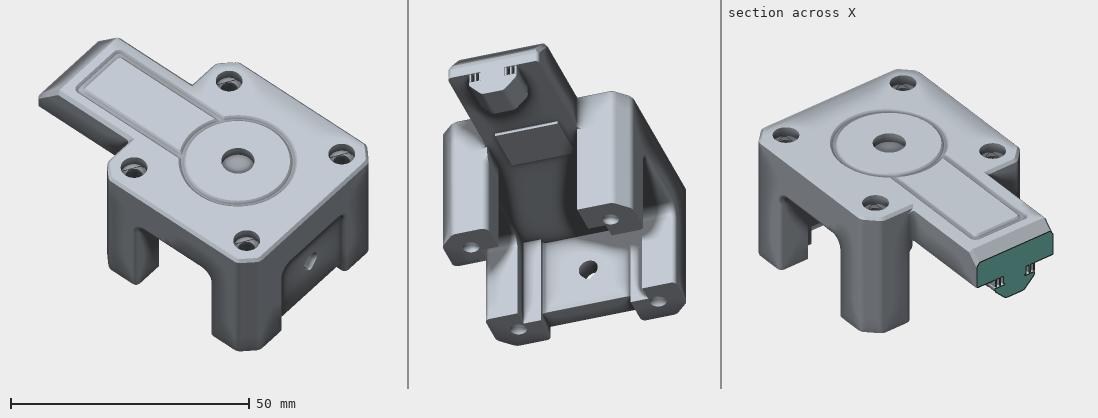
import cadquery as cq
import math


BLOCK_LENGTH = 42.0
BLOCK_WIDTH = 42.2
BLOCK_END_X = BLOCK_LENGTH / 2
BLOCK_SIDE_Y = BLOCK_WIDTH / 2
HEIGHT = 29.5
TOP_BEVEL = 0.6
CORNER_CHAMFER = 3.4
CORNER_ROUND = 2.0
CEILING_Z = 20.95
CAVITY_SIDE = 27.65

MARGIN = 0.1

ARCH_HALF = 9.95
ARCH_SPRING_Z = 17.0
ARCH_RADIUS = 2.45
ARCH_EDGE_ROUND = 1.1
ARM_SIDE_RADIUS = 1.1
ARM_SIDE_EDGE_ROUND = 1.6

PANEL_INNER_X = 14.9
PANEL_BOTTOM_Z = 2.45
PANEL_RECESS = 0.55
TEARDROP_RADIUS = 2.1
TEARDROP_Z = 12.05
TEARDROP_TIP = 2.65

LENGTH = 67.8
NOSE_X = BLOCK_END_X - LENGTH
ARM_HALF = 10.1
NOSE_BEVEL = 5.7
ARM_BEVEL = 0.75
NOSE_CORNER_ROUND = 0.95
NECK_ROUND = 1.0
PAD_X = -24.95
PAD_HALF = 6.9
PAD_THICKNESS = 0.6

HOOK_LENGTH = 7.45
HOOK_BOTTOM_Z = 15.1
HOOK_TOP_Z = 18.8
HOOK_HALF = 5.3
HOOK_CHAMFER = 2.85
HOOK_ROUND = 1.35
HOOK_NECK_HALF = 2.65
RIB_THICKNESS = 0.4
RIB_PITCH = 1.1
RIBS_PER_SIDE = 3
RIB_CLEARANCE = 0.2

SLOPE = 45

SCREW_OFFSET = 15.45
SCREW_DIAMETER = 3.5
COUNTERBORE_DIAMETER = 5.6
COUNTERBORE_DEPTH = 2.25
TRIANGLE_STEP = 0.3

HUB_DIAMETER = 7.0
HUB_DEPTH = 2.2
GROOVE_DEPTH = 0.55
RING_OUTER = 12.5
RING_INNER = 10.9
FRAME_END_X = -39.1
FRAME_HALF = 7.45
FRAME_WIDTH = 1.8
FRAME_STOP_X = -9.6
FRAME_OUTER_ROUND = 1.5
FRAME_INNER_ROUND = 0.7


def box(x_range, y_range, z_range):
    """Axis-aligned box between pairs of coordinates."""
    sizes = [high - low for low, high in (x_range, y_range, z_range)]
    corner = (x_range[0], y_range[0], z_range[0])
    return cq.Workplane("XY").box(*sizes, centered=False).translate(corner)


def make_block():
    outline = (
        cq.Workplane("XY")
        .rect(BLOCK_LENGTH, BLOCK_WIDTH)
        .extrude(HEIGHT)
        .edges("|Z")
        .chamfer(CORNER_CHAMFER)
        .edges("|Z")
        .fillet(CORNER_ROUND)
    )
    return outline.faces(">Z").chamfer(TOP_BEVEL)


def make_arm():
    bevel_start_x = NOSE_X + NOSE_BEVEL
    profile = [
        (0, CEILING_Z),
        (NOSE_X, CEILING_Z),
        (NOSE_X, HEIGHT - NOSE_BEVEL),
        (bevel_start_x, HEIGHT),
        (0, HEIGHT),
    ]
    arm = cq.Workplane("XZ").polyline(profile).close().extrude(ARM_HALF, both=True)
    long_edges = arm.faces(">Z").edges("|X").vals()
    nose_slope = arm.faces(cq.selectors.DirectionMinMaxSelector(cq.Vector(-1, 0, 1)))
    slope_edges = nose_slope.edges("not(>Z)").vals()
    arm = arm.newObject(long_edges + slope_edges).chamfer(ARM_BEVEL)
    return arm.edges("<X and |Z").fillet(NOSE_CORNER_ROUND)


def arch_profile(radius):
    """Outline of an opening with rounded upper corners, in the XZ plane."""
    top_z = ARCH_SPRING_Z + radius
    diagonal = radius * math.sqrt(0.5)
    arc_z = ARCH_SPRING_Z + diagonal
    center_x = ARCH_HALF - radius
    return (
        cq.Workplane("XZ")
        .moveTo(-ARCH_HALF, 0)
        .lineTo(-ARCH_HALF, ARCH_SPRING_Z)
        .threePointArc((-center_x - diagonal, arc_z), (-center_x, top_z))
        .lineTo(center_x, top_z)
        .threePointArc((center_x + diagonal, arc_z), (ARCH_HALF, ARCH_SPRING_Z))
        .lineTo(ARCH_HALF, 0)
        .close()
    )


def arch_cutter(face_distance, corner_radius, edge_round):
    """Cutter for an opening in the -Y direction, flared to round the edge of its outer face."""
    passage = arch_profile(corner_radius).extrude(face_distance)
    slab = box(
        (-BLOCK_SIDE_Y, BLOCK_SIDE_Y),
        (-face_distance, -face_distance + 2 * edge_round),
        (0, HEIGHT),
    )
    frame = slab.cut(passage)
    outer_face = frame.faces("<Y")
    rim = outer_face.edges(
        cq.selectors.BoxSelector(
            (-ARCH_HALF - MARGIN, -face_distance - MARGIN, MARGIN),
            (ARCH_HALF + MARGIN, -face_distance + MARGIN, HEIGHT - MARGIN),
        )
    )
    return passage.union(slab.cut(rim.fillet(edge_round)))


def turned(body, angle):
    return body.rotate((0, 0, 0), (0, 0, 1), angle)


def make_arm_side_opening():
    """Opening below the arm; only its +Y edge is rounded."""
    opening = box((-BLOCK_END_X, 0), (-ARCH_HALF, ARCH_HALF), (0, CEILING_Z))
    flare = turned(arch_cutter(BLOCK_END_X, ARM_SIDE_RADIUS, ARM_SIDE_EDGE_ROUND), -90)
    plus_y_half = box((-BLOCK_END_X, 0), (0, BLOCK_SIDE_Y), (0, HEIGHT))
    return opening.union(flare.intersect(plus_y_half))


def make_panel():
    """Wall in the +X opening with a sloped border around its inner face."""
    outer_x = BLOCK_END_X - ARCH_EDGE_ROUND
    panel = box((PANEL_INNER_X, outer_x), (-ARCH_HALF, ARCH_HALF), (PANEL_BOTTOM_Z, CEILING_Z))
    recess_height = 2 * (CEILING_Z - PANEL_BOTTOM_Z)
    recess = (
        cq.Workplane("YZ", origin=(PANEL_INNER_X, 0, CEILING_Z))
        .rect(2 * ARCH_HALF, recess_height)
        .extrude(PANEL_RECESS, taper=SLOPE)
    )
    tangent = TEARDROP_RADIUS * math.sqrt(0.5)
    tip_half = 2 * tangent - TEARDROP_TIP
    teardrop = (
        cq.Workplane("YZ", origin=(0, 0, TEARDROP_Z))
        .moveTo(-tangent, -tangent)
        .threePointArc((0, TEARDROP_RADIUS), (tangent, -tangent))
        .lineTo(tip_half, -TEARDROP_TIP)
        .lineTo(-tip_half, -TEARDROP_TIP)
        .close()
        .extrude(BLOCK_END_X)
    )
    return panel.cut(recess).cut(teardrop)


def make_hook():
    """Hook bar on a narrow neck, with thin ribs beside the neck joined by a web at their +X end."""
    x_range = (NOSE_X, NOSE_X + HOOK_LENGTH)
    bar = (
        box(x_range, (-HOOK_HALF, HOOK_HALF), (HOOK_BOTTOM_Z, HOOK_TOP_Z))
        .faces("<Z")
        .edges("|X")
        .chamfer(HOOK_CHAMFER)
    )
    bar = bar.edges("|X").edges("not(>Z)").fillet(HOOK_ROUND)
    hook = bar.union(box(x_range, (-HOOK_NECK_HALF, HOOK_NECK_HALF), (HOOK_TOP_Z, CEILING_Z)))

    rib_x = (x_range[0] + RIB_CLEARANCE, x_range[1] - RIB_CLEARANCE)
    rib_z = (HOOK_TOP_Z + RIB_CLEARANCE, CEILING_Z)
    for index in range(RIBS_PER_SIDE):
        inner_y = HOOK_NECK_HALF + index * RIB_PITCH
        outer_y = inner_y + RIB_THICKNESS
        rib = box(rib_x, (inner_y, outer_y), rib_z)
        hook = hook.union(rib).union(rib.mirror("XZ"))
    web = box((rib_x[1] - RIB_THICKNESS, rib_x[1]), (-outer_y, outer_y), rib_z)
    return hook.union(web)


def make_screw_hole():
    """Counterbored hole whose seat carries a shallow triangle tangent to the hole."""
    seat_z = HEIGHT - COUNTERBORE_DEPTH
    hole = cq.Workplane("XY").circle(SCREW_DIAMETER / 2).extrude(HEIGHT)
    counterbore = (
        cq.Workplane("XY", origin=(0, 0, seat_z))
        .circle(COUNTERBORE_DIAMETER / 2)
        .extrude(COUNTERBORE_DEPTH)
    )
    triangle = (
        cq.Workplane("XY", origin=(0, 0, seat_z - TRIANGLE_STEP))
        .transformed(rotate=(0, 0, 90))
        .polygon(3, 2 * SCREW_DIAMETER)
        .extrude(TRIANGLE_STEP)
    )
    step = counterbore.translate((0, 0, -TRIANGLE_STEP)).intersect(triangle)
    return hole.union(counterbore).union(step)


def make_ring_groove():
    profile = [
        (RING_INNER, HEIGHT),
        (RING_INNER + GROOVE_DEPTH, HEIGHT - GROOVE_DEPTH),
        (RING_OUTER - GROOVE_DEPTH, HEIGHT - GROOVE_DEPTH),
        (RING_OUTER, HEIGHT),
    ]
    return cq.Workplane("XZ").polyline(profile).close().revolve(360, (0, 0, 0), (0, 1, 0))


def frame_prism(inset, corner_radius, slope):
    """Rounded bar with sloped sides, as deep as the groove."""
    start_x = FRAME_END_X + inset
    length = 2 * (FRAME_STOP_X - start_x)
    sketch = cq.Sketch().rect(length, 2 * (FRAME_HALF - inset)).vertices().fillet(corner_radius)
    return (
        cq.Workplane("XY", origin=(FRAME_STOP_X, 0, HEIGHT))
        .placeSketch(sketch)
        .extrude(-GROOVE_DEPTH, taper=slope)
    )


def make_frame_groove():
    """Groove around the arm panel, ending in the ring groove."""
    outer = frame_prism(0, FRAME_OUTER_ROUND, SLOPE)
    island = frame_prism(FRAME_WIDTH, FRAME_INNER_ROUND, -SLOPE)
    arm_side = box((NOSE_X, FRAME_STOP_X), (-FRAME_HALF, FRAME_HALF), (0, HEIGHT))
    return outer.cut(island).intersect(arm_side)


cavity_half = CAVITY_SIDE / 2
cavity_range = (-cavity_half, cavity_half)
result = make_block()
result = result.cut(box(cavity_range, cavity_range, (0, CEILING_Z)))
for angle, face_distance in ((0, BLOCK_SIDE_Y), (90, BLOCK_END_X), (180, BLOCK_SIDE_Y)):
    arch = arch_cutter(face_distance, ARCH_RADIUS, ARCH_EDGE_ROUND)
    result = result.cut(turned(arch, angle))
result = result.cut(make_arm_side_opening())

panel_pocket_x = (0, PANEL_INNER_X + PANEL_RECESS)
result = result.cut(box(panel_pocket_x, (-ARCH_HALF, ARCH_HALF), (0, CEILING_Z)))
result = result.union(make_panel())

neck_edges = cq.selectors.BoxSelector(
    (-BLOCK_END_X - MARGIN, -ARM_HALF - MARGIN, CEILING_Z),
    (-BLOCK_END_X + MARGIN, ARM_HALF + MARGIN, HEIGHT),
)
result = result.union(make_arm())
result = result.edges("|Z").edges(neck_edges).fillet(NECK_ROUND)
result = result.union(make_hook())

pad_z = (CEILING_Z - PAD_THICKNESS, CEILING_Z)
result = result.union(box((PAD_X, -cavity_half), (-PAD_HALF, PAD_HALF), pad_z))

for x_sign in (-1, 1):
    for y_sign in (-1, 1):
        center = (x_sign * SCREW_OFFSET, y_sign * SCREW_OFFSET, 0)
        result = result.cut(make_screw_hole().translate(center))

hub = cq.Workplane("XY", origin=(0, 0, HEIGHT)).circle(HUB_DIAMETER / 2).extrude(-HUB_DEPTH)
result = result.cut(hub)
result = result.cut(make_ring_groove())
result = result.cut(make_frame_groove())